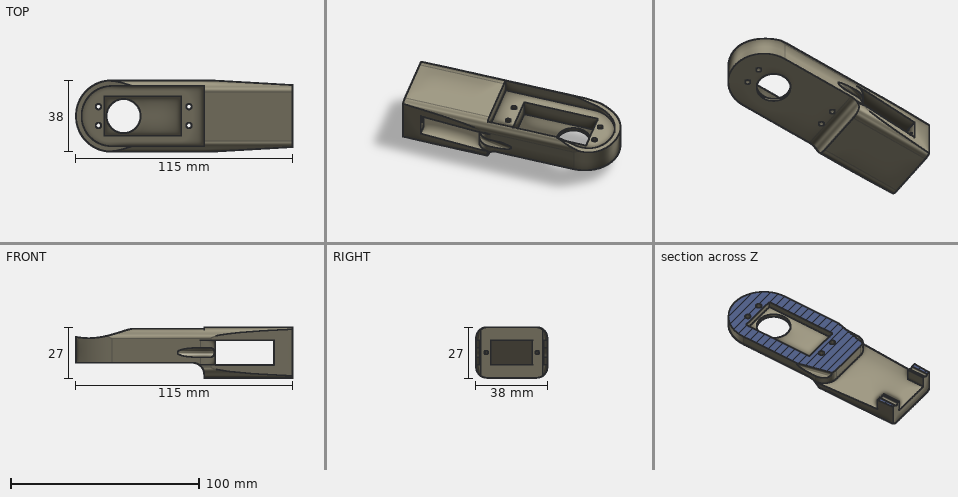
import cadquery as cq
import math

body_width = 38.0
body_height = 27.0
nose_radius = body_width / 2
rear_x = 96.0
edge_radius = 6.0

taper_start_x = 52.5
rear_width = 33.0

shoulder_x = 49.0
front_bottom_z = 8.0
shoulder_radius = 6.0
sweep_low_x = -11.0
sweep_low_z = 21.2
sweep_nose_z = 21.85
sweep_nose_slope = -0.19
sweep_bend_x = 3.0
sweep_bend_z = 23.9
sweep_high_x = 22.0

tray_radius = 16.0
tray_floor_z = 19.0
well_length = 41.0
well_width = 21.0
well_center_x = 16.5
well_floor_z = 10.0
shaft_hole_diameter = 18.0
shaft_hole_x = 6.3

screw_hole_diameter = 2.8
screw_center_x = 17.0
screw_spacing_x = 48.0
screw_spacing_y = 10.0

window_start_x = 55.0
window_end_x = 86.0
window_height = 13.0
window_center_z = body_height / 2
window_entry_radius = 8.0

channel_radius = 2.5
channel_start_x = 34.8
channel_angle = 14.0
channel_length = 24.0
channel_opening = 5.0

rear_cavity_width = 22.0

pin_hole_diameter = 2.0
pin_hole_y = 13.5

SIDES = (-1, 1)


def make_body():
    """Bar with rounded long edges, trimmed to the nose-and-taper plan."""
    half_width = body_width / 2
    length = rear_x + nose_radius
    bar = (
        cq.Workplane("XY")
        .box(length, body_width, body_height, centered=(False, True, False))
        .translate((-nose_radius, 0, 0))
        .edges("|X")
        .fillet(edge_radius)
    )
    plan = (
        cq.Workplane("XY")
        .moveTo(0, half_width)
        .threePointArc((-nose_radius, 0), (0, -half_width))
        .lineTo(taper_start_x, -half_width)
        .lineTo(rear_x, -rear_width / 2)
        .lineTo(rear_x, rear_width / 2)
        .lineTo(taper_start_x, half_width)
        .close()
        .extrude(body_height)
    )
    return bar.intersect(plan)


def make_underside_cut():
    """Space below the front section, ending in a rounded shoulder."""
    center_x = shoulder_x - shoulder_radius
    center_z = front_bottom_z - shoulder_radius
    offset = shoulder_radius * math.sqrt(0.5)
    return (
        cq.Workplane("XZ", origin=(0, body_width / 2, 0))
        .moveTo(-nose_radius, 0)
        .lineTo(shoulder_x, 0)
        .lineTo(shoulder_x, center_z)
        .threePointArc((center_x + offset, center_z + offset), (center_x, front_bottom_z))
        .lineTo(-nose_radius, front_bottom_z)
        .close()
        .extrude(body_width)
    )


def make_sweep_cut():
    """Space above the nose, bounded by one smooth curve that dips and then climbs to the top."""
    sweep_points = [
        (sweep_low_x, sweep_low_z),
        (sweep_bend_x, sweep_bend_z),
        (sweep_high_x, body_height),
    ]
    return (
        cq.Workplane("XZ", origin=(0, body_width / 2, 0))
        .moveTo(-nose_radius, body_height)
        .lineTo(-nose_radius, sweep_nose_z)
        .spline(sweep_points, tangents=[(1, sweep_nose_slope), (1, 0)], includeCurrent=True)
        .close()
        .extrude(body_width)
    )


def make_tray_cut():
    """Tray with a rounded front end, plus the well and shaft hole in its floor."""
    tray = (
        cq.Workplane("XY", origin=(0, 0, tray_floor_z))
        .moveTo(0, tray_radius)
        .threePointArc((-tray_radius, 0), (0, -tray_radius))
        .lineTo(shoulder_x, -tray_radius)
        .lineTo(shoulder_x, tray_radius)
        .close()
        .extrude(body_height - tray_floor_z)
    )
    well = (
        cq.Workplane("XY", origin=(well_center_x, 0, well_floor_z))
        .rect(well_length, well_width)
        .extrude(body_height - well_floor_z)
    )
    shaft_hole = (
        cq.Workplane("XY")
        .center(shaft_hole_x, 0)
        .circle(shaft_hole_diameter / 2)
        .extrude(body_height)
    )
    return tray.union(well).union(shaft_hole)


def make_screw_holes():
    return (
        cq.Workplane("XY", origin=(screw_center_x, 0, 0))
        .rarray(screw_spacing_x, screw_spacing_y, 2, 2)
        .circle(screw_hole_diameter / 2)
        .extrude(body_height)
    )


def make_window_cut():
    """Window across the body whose front wall rounds over to both sides."""
    half_width = body_width / 2
    entry_x = window_start_x - window_entry_radius
    entry_y = half_width - window_entry_radius
    offset = window_entry_radius * math.sqrt(0.5)
    return (
        cq.Workplane("XY", origin=(0, 0, window_center_z - window_height / 2))
        .moveTo(entry_x, half_width)
        .threePointArc((entry_x + offset, entry_y + offset), (window_start_x, entry_y))
        .lineTo(window_start_x, -entry_y)
        .threePointArc((entry_x + offset, -entry_y - offset), (entry_x, -half_width))
        .lineTo(window_end_x, -half_width)
        .lineTo(window_end_x, half_width)
        .close()
        .extrude(window_height)
    )


def make_channel(side):
    """Round-bottomed channel, open to one side face, that sinks towards the window."""
    slant = math.radians(channel_angle)
    axis_x = channel_start_x + channel_radius / math.sin(slant)
    middle = cq.Vector(axis_x, side * body_width / 2, window_center_z)
    direction = cq.Vector(math.cos(slant), -side * math.sin(slant), 0)
    outward = cq.Vector(math.sin(slant), side * math.cos(slant), 0)
    start = middle - direction * (channel_length / 2)
    return (
        cq.Workplane(cq.Plane(start, outward, direction))
        .moveTo(channel_opening, channel_radius)
        .lineTo(0, channel_radius)
        .threePointArc((-channel_radius, 0), (0, -channel_radius))
        .lineTo(channel_opening, -channel_radius)
        .close()
        .extrude(channel_length)
    )


def make_rear_cavity():
    """Opening that carries the middle of the window out through the rear face."""
    length = rear_x - window_end_x
    return (
        cq.Workplane("XY")
        .box(length, rear_cavity_width, window_height)
        .translate((window_end_x + length / 2, 0, window_center_z))
    )


def make_pin_hole(side):
    return (
        cq.Workplane("YZ", origin=(window_end_x, side * pin_hole_y, window_center_z))
        .circle(pin_hole_diameter / 2)
        .extrude(rear_x - window_end_x)
    )


result = (
    make_body()
    .cut(make_underside_cut())
    .cut(make_sweep_cut())
    .cut(make_tray_cut())
    .cut(make_screw_holes())
    .cut(make_window_cut())
    .cut(make_rear_cavity())
)
for side in SIDES:
    result = result.cut(make_channel(side)).cut(make_pin_hole(side))